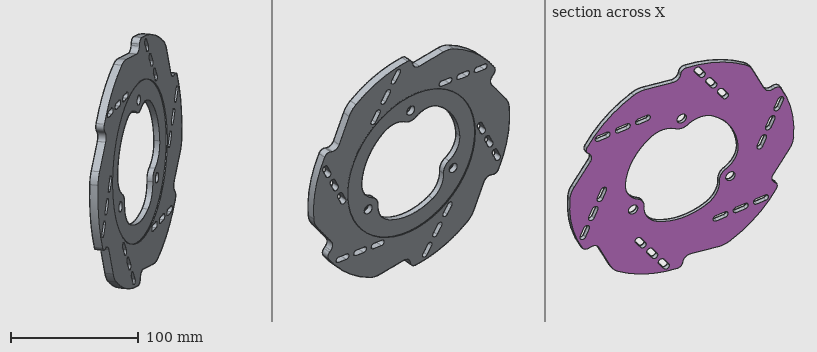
import cadquery as cq
import math

DISC_THICKNESS = 7.0
DISC_RADIUS = 100.0
TOOTH_COUNT = 6
TOOTH_PITCH = 360.0 / TOOTH_COUNT

WALL_TILT = 12.8
WALL_DISTANCE = 22.2
TIP_RADIUS = 5.0
ROOT_RADIUS = 6.0
RAMP_SLOPE = 5.6
RAMP_DISTANCE = 88.55
RAMP_CORNER_RADIUS = 20.0

RECESS_RADIUS = 65.0
RECESS_DEPTH = 1.0

BORE_RADIUS = 50.0
EAR_COUNT = 3
EAR_PITCH = 360.0 / EAR_COUNT
EAR_RADIUS = 10.0
EAR_FILLET_RADIUS = 20.0
BOLT_CIRCLE_RADIUS = 50.0
BOLT_HOLE_DIAMETER = 8.0
FIRST_EAR_ANGLE = 90.0

SLOTS_PER_ROW = 3
SLOT_SPACING = 18.0
SLOT_WIDTH = 5.0
SLOT_STRAIGHT = 8.0
SLOT_LENGTH = SLOT_STRAIGHT + SLOT_WIDTH
SLOT_ROW_TILT = -5.0
SLOT_ROW_DISTANCE = RECESS_RADIUS
SLOT_ROW_MIDDLE = 47.0

FACE = cq.Plane(origin=(0, 0, 0), xDir=(0, -1, 0), normal=(-1, 0, 0))


def polar(radius, degrees):
    angle = math.radians(degrees)
    return cq.Vector(radius * math.cos(angle), radius * math.sin(angle))


def turned(point, degrees):
    """The point turned about the disc axis."""
    angle = math.radians(degrees)
    return cq.Vector(
        point.x * math.cos(angle) - point.y * math.sin(angle),
        point.x * math.sin(angle) + point.y * math.cos(angle),
    )


def arc_middle(center, start, end):
    """Middle point of the shorter arc about the center from start to end."""
    outward = ((start + end) * 0.5 - center).normalized()
    return center + outward * (start - center).Length


def closed_outline(segments, copies, pitch):
    """Repeats a chain of (arc center or None, end point) segments clockwise about the disc axis."""
    start = turned(segments[-1][1], pitch)
    sketch = cq.Workplane(FACE).moveTo(start.x, start.y)
    for copy in range(copies):
        for center, end in segments:
            end = turned(end, -pitch * copy)
            if center is None:
                sketch = sketch.lineTo(end.x, end.y)
            else:
                middle = arc_middle(turned(center, -pitch * copy), start, end)
                sketch = sketch.threePointArc((middle.x, middle.y), (end.x, end.y))
            start = end
    return sketch.close()


def rim_corner_center(normal, along, line_distance, radius):
    """Center of a rounding that touches a straight edge and the rim, both from inside."""
    height = line_distance - radius
    offset = math.sqrt((DISC_RADIUS - radius) ** 2 - height**2)
    return normal * height + along * offset


def tooth_segments():
    """One rim notch and the rim arc that follows it, clockwise from the tooth tip."""
    wall_normal = polar(1, WALL_TILT)
    wall_up = polar(1, WALL_TILT + 90)
    ramp_along = polar(1, RAMP_SLOPE)
    ramp_normal = polar(1, RAMP_SLOPE + 90)

    tip_center = rim_corner_center(wall_normal, wall_up, WALL_DISTANCE, TIP_RADIUS)
    corner_center = rim_corner_center(ramp_normal, ramp_along, RAMP_DISTANCE, RAMP_CORNER_RADIUS)

    root_height = RAMP_DISTANCE + ROOT_RADIUS
    wall_gap = WALL_DISTANCE + ROOT_RADIUS - root_height * ramp_normal.dot(wall_normal)
    root_center = ramp_normal * root_height + ramp_along * (wall_gap / ramp_along.dot(wall_normal))

    axis = cq.Vector(0, 0)
    next_tip_start = turned(tip_center.normalized() * DISC_RADIUS, -TOOTH_PITCH)
    return [
        (tip_center, tip_center + wall_normal * TIP_RADIUS),
        (None, root_center - wall_normal * ROOT_RADIUS),
        (root_center, root_center - ramp_normal * ROOT_RADIUS),
        (None, corner_center + ramp_normal * RAMP_CORNER_RADIUS),
        (corner_center, corner_center.normalized() * DISC_RADIUS),
        (axis, next_tip_start),
    ]


def bore_segments():
    """One bolt ear with its fillets and the bore arc that follows it, clockwise."""
    ear_center = polar(BOLT_CIRCLE_RADIUS, FIRST_EAR_ANGLE)

    to_axis = BORE_RADIUS - EAR_FILLET_RADIUS
    to_ear = EAR_RADIUS + EAR_FILLET_RADIUS
    cosine = (to_axis**2 + BOLT_CIRCLE_RADIUS**2 - to_ear**2) / (2 * to_axis * BOLT_CIRCLE_RADIUS)
    spread = math.degrees(math.acos(cosine))
    fillet_before = polar(to_axis, FIRST_EAR_ANGLE + spread)
    fillet_after = polar(to_axis, FIRST_EAR_ANGLE - spread)

    axis = cq.Vector(0, 0)
    return [
        (fillet_before, ear_center + (fillet_before - ear_center).normalized() * EAR_RADIUS),
        (ear_center, ear_center + (fillet_after - ear_center).normalized() * EAR_RADIUS),
        (fillet_after, polar(BORE_RADIUS, FIRST_EAR_ANGLE - spread)),
        (axis, polar(BORE_RADIUS, FIRST_EAR_ANGLE + spread - EAR_PITCH)),
    ]


def disc_blank():
    return closed_outline(tooth_segments(), TOOTH_COUNT, TOOTH_PITCH).extrude(-DISC_THICKNESS)


def face_recess(start):
    """Recess cutter that starts at the given distance behind the -X face."""
    return cq.Workplane(FACE).workplane(offset=-start).circle(RECESS_RADIUS).extrude(-RECESS_DEPTH)


def eared_bore():
    return closed_outline(bore_segments(), EAR_COUNT, EAR_PITCH).extrude(-DISC_THICKNESS)


def bolt_holes():
    return (
        cq.Workplane(FACE)
        .polarArray(BOLT_CIRCLE_RADIUS, FIRST_EAR_ANGLE, 360, EAR_COUNT)
        .circle(BOLT_HOLE_DIAMETER / 2)
        .extrude(-DISC_THICKNESS)
    )


def slot_row(tooth):
    """The through slots of one tooth."""
    tilt = SLOT_ROW_TILT + tooth * TOOTH_PITCH
    return (
        cq.Workplane(FACE)
        .transformed(rotate=(0, 0, tilt))
        .center(SLOT_ROW_MIDDLE, SLOT_ROW_DISTANCE)
        .rarray(SLOT_SPACING, 1, SLOTS_PER_ROW, 1)
        .slot2D(SLOT_LENGTH, SLOT_WIDTH)
        .extrude(-DISC_THICKNESS)
    )


result = disc_blank()
for start in (0, DISC_THICKNESS - RECESS_DEPTH):
    result = result.cut(face_recess(start))
result = result.cut(eared_bore()).cut(bolt_holes())
for tooth in range(TOOTH_COUNT):
    result = result.cut(slot_row(tooth))